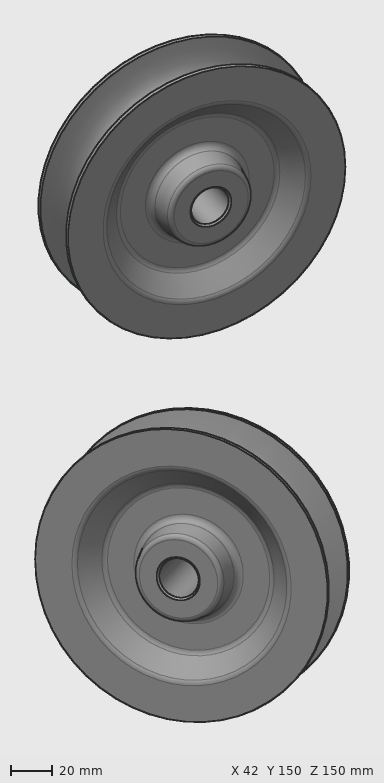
import cadquery as cq
import math

outer_radius = 75.0
rim_width = 33.0
hub_length = 42.0
web_thickness = 11.4

throat_radius = 55.0
lip_half_width = 14.1
lip_slope = math.radians(10)
throat_reach = 11.1
lip_reach = 9.9
lip_clearance = 1.5

recess_outer_radius = 54.8
recess_inner_radius = 43.0
recess_fillet = 3.8

hub_end_radius = 22.2
hub_draft = math.radians(10)
hub_end_fillet = 2.5
hub_base_fillet = 3.8

bore_radius = 10.0
bore_chamfer = 1.0

half_rim = rim_width / 2
half_hub = hub_length / 2
half_web = web_thickness / 2
hub_base_radius = hub_end_radius + (half_hub - half_web) * math.tan(hub_draft)


def revolve_about_x(profile):
    """Close a profile and sweep it a full turn about the X axis."""
    return profile.close().revolve(axisStart=(0, 0, 0), axisEnd=(1, 0, 0))


def make_body():
    """Solid wheel with hubs and recesses; profile is (X, radius)."""
    right_side = [
        (half_rim, outer_radius),
        (half_rim, recess_outer_radius),
        (half_web, recess_inner_radius),
        (half_web, hub_base_radius),
        (half_hub, hub_end_radius),
        (half_hub, 0),
    ]
    left_side = [(-x, radius) for x, radius in reversed(right_side)]
    return revolve_about_x(cq.Workplane("XY").polyline(right_side + left_side))


edge_tolerance = 0.0002


def fillet_circles(body, x, radius, fillet):
    """Round the circular edges of the given radius at both +x and -x."""
    def is_wanted(edge):
        return (
            edge.geomType() == "CIRCLE"
            and math.isclose(edge.radius(), radius, abs_tol=edge_tolerance)
            and math.isclose(abs(edge.Center().x), x, abs_tol=edge_tolerance)
        )

    edges = [edge for edge in body.edges().vals() if is_wanted(edge)]
    return body.newObject(edges).fillet(fillet)


def make_groove():
    """Ring removed from the rim to form the rope groove."""
    handle_x = lip_half_width - lip_reach * math.tan(lip_slope)
    handle_radius = outer_radius - lip_reach
    clear_radius = outer_radius + lip_clearance
    right_curve = [
        (0, throat_radius),
        (throat_reach, throat_radius),
        (handle_x, handle_radius),
        (lip_half_width, outer_radius),
    ]
    left_curve = [(-x, radius) for x, radius in reversed(right_curve)]
    profile = (
        cq.Workplane("XY")
        .moveTo(-lip_half_width, outer_radius)
        .bezier(left_curve)
        .bezier(right_curve)
        .lineTo(lip_half_width, clear_radius)
        .lineTo(-lip_half_width, clear_radius)
    )
    return revolve_about_x(profile)


def make_bore():
    """Through bore with a 45 degree chamfer at each end."""
    mouth_radius = bore_radius + bore_chamfer
    chamfer_x = half_hub - bore_chamfer
    profile = cq.Workplane("XY").polyline([
        (-half_hub, 0),
        (-half_hub, mouth_radius),
        (-chamfer_x, bore_radius),
        (chamfer_x, bore_radius),
        (half_hub, mouth_radius),
        (half_hub, 0),
    ])
    return revolve_about_x(profile)


body = make_body()
body = fillet_circles(body, half_rim, recess_outer_radius, recess_fillet)
body = fillet_circles(body, half_web, recess_inner_radius, recess_fillet)
body = fillet_circles(body, half_web, hub_base_radius, hub_base_fillet)
body = fillet_circles(body, half_hub, hub_end_radius, hub_end_fillet)

result = body.cut(make_groove()).cut(make_bore())